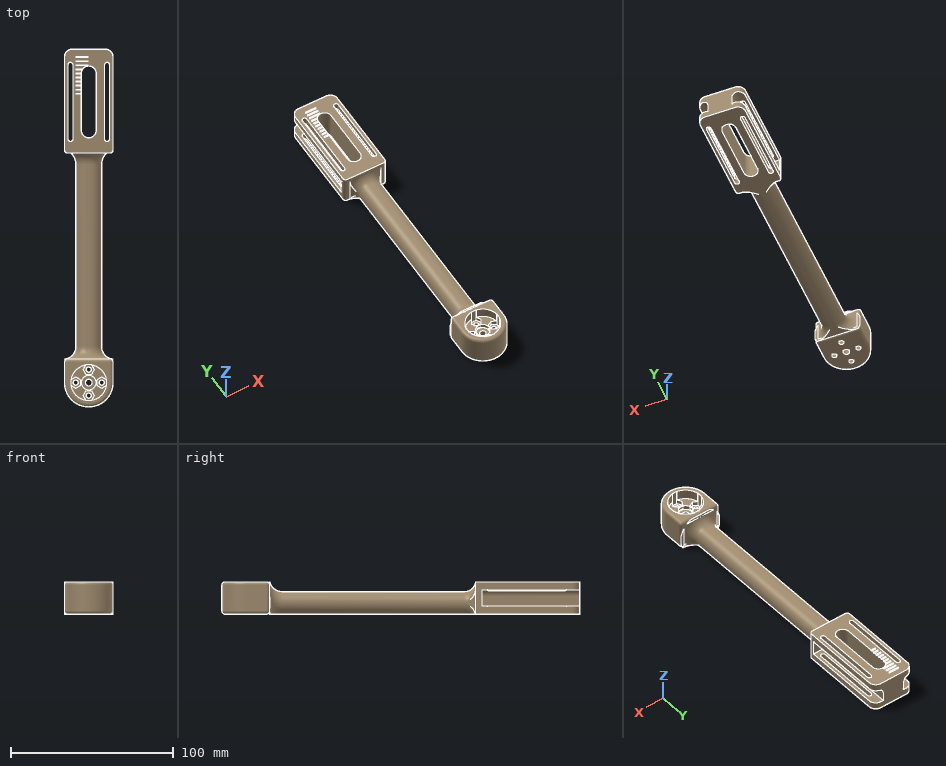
import cadquery as cq
import math

width = 30.0
height = 20.0
total_length = 220.0

rod_width = 16.0
rod_height = 14.0
rod_radius = rod_height / 2
rod_flat = rod_width - rod_height
head_neck_radius = 7.5
block_neck_radius = 6.75
block_neck_width = 22.0

head_radius = width / 2
head_back = 14.5
head_fillet = 2.0
pocket_diameter = 22.0
pocket_depth = 7.0
center_hole_diameter = 4.0
center_recess_diameter = 9.0
screw_hole_diameter = 3.0
screw_offset = 8.0
nut_flats = 6.0
nut_recess_depth = 3.0

block_length = 64.0
block_end = total_length - head_radius
block_start = block_end - block_length
block_middle = (block_start + block_end) / 2
block_end_corner = 5.0
block_rod_corner = 2.0

slot_shift = 0.5
slot_middle = block_middle - slot_shift
main_slot_length = 44.0
main_slot_width = 9.0
side_slot_length = 48.5
side_slot_width = 3.0
side_slot_offset = 11.25

groove_height = 10.0
groove_depth = 7.0
groove_length = 60.0
groove_roof_radius = 4.0

tick_count = 10
tick_pitch = 2.5
tick_length = 7.25
tick_center_x = -4.125
tick_width = 0.5
tick_depth = 0.5
first_tick_inset = 5.0


def make_head():
    """Round-nosed head with every edge of its outside rounded."""
    outline = (
        cq.Workplane("XY")
        .moveTo(-head_radius, head_back)
        .lineTo(-head_radius, 0)
        .threePointArc((0, -head_radius), (head_radius, 0))
        .lineTo(head_radius, head_back)
        .close()
    )
    head = outline.extrude(height)
    head = head.edges("|Z and >Y").fillet(head_fillet)
    return head.faces("<Z or >Z").edges().fillet(head_fillet)


def make_rod():
    """Straight rod reaching from the head to the block."""
    return (
        cq.Workplane("XZ", origin=(0, head_back, rod_radius))
        .slot2D(rod_width, rod_height)
        .extrude(head_back - block_start)
    )


def make_neck(face_y, direction, neck_radius):
    """Concave flare from the rod to a flat face at face_y; direction points along the rod."""
    rod_end = face_y + direction * neck_radius
    flare_radius = rod_radius + neck_radius
    arc_offset = neck_radius * math.sqrt(0.5)
    arc_radius = flare_radius - arc_offset
    arc_y = rod_end - direction * arc_offset

    neck = (
        cq.Workplane("YZ", origin=(-rod_flat / 2, 0, rod_radius))
        .moveTo(face_y, -flare_radius)
        .lineTo(face_y, flare_radius)
        .threePointArc((arc_y, arc_radius), (rod_end, rod_radius))
        .lineTo(rod_end, -rod_radius)
        .threePointArc((arc_y, -arc_radius), (face_y, -flare_radius))
        .close()
        .extrude(rod_flat)
    )
    for center_x in (-rod_flat / 2, rod_flat / 2):
        half_profile = (
            cq.Workplane("XY", origin=(center_x, 0, rod_radius))
            .moveTo(0, face_y)
            .lineTo(flare_radius, face_y)
            .threePointArc((arc_radius, arc_y), (rod_radius, rod_end))
            .lineTo(0, rod_end)
            .close()
        )
        neck = neck.union(half_profile.revolve(360, (0, 0, 0), (0, 1, 0)))
    return neck


def make_head_neck():
    """Flare into the head, kept within the head's rounded cross-section."""
    envelope = (
        cq.Workplane("XZ", origin=(0, 0, height / 2))
        .rect(width, height)
        .extrude(-block_start)
        .edges("|Y")
        .fillet(head_fillet)
    )
    return make_neck(head_back, 1, head_neck_radius).intersect(envelope)


def make_block_neck():
    """Flare into the block, narrowed at the sides by a shallower concave arc."""
    neck_start = block_start - block_neck_radius
    side_flare = (block_neck_width - rod_width) / 2
    side_radius = (block_neck_radius**2 + side_flare**2) / (2 * side_flare)
    envelope = (
        cq.Workplane("XY")
        .moveTo(-rod_width / 2, neck_start)
        .lineTo(rod_width / 2, neck_start)
        .radiusArc((block_neck_width / 2, block_start), side_radius)
        .lineTo(-block_neck_width / 2, block_start)
        .radiusArc((-rod_width / 2, neck_start), side_radius)
        .close()
        .extrude(height)
    )
    return make_neck(block_start, -1, block_neck_radius).intersect(envelope)


def make_block():
    """Rectangular block with rounded vertical corners."""
    block = (
        cq.Workplane("XY", origin=(0, block_middle, 0))
        .rect(width, block_length)
        .extrude(height)
    )
    block = block.edges("|Z and >Y").fillet(block_end_corner)
    return block.edges("|Z and <Y").fillet(block_rod_corner)


def head_cuts():
    """Round pocket with a centre recess, four nut recesses and their through holes."""
    pocket_floor = height - pocket_depth
    recess_floor = pocket_floor - nut_recess_depth
    recess_height = height - recess_floor
    nut_corners = nut_flats / math.cos(math.pi / 6)

    pocket = cq.Workplane("XY", origin=(0, 0, pocket_floor)).circle(pocket_diameter / 2)
    cuts = pocket.extrude(pocket_depth)
    recess = cq.Workplane("XY", origin=(0, 0, recess_floor)).circle(center_recess_diameter / 2)
    cuts = cuts.union(recess.extrude(recess_height))
    cuts = cuts.union(cq.Workplane("XY").circle(center_hole_diameter / 2).extrude(height))

    screw = cq.Workplane("XY").center(0, screw_offset).circle(screw_hole_diameter / 2).extrude(height)
    nut = (
        cq.Workplane("XY", origin=(0, screw_offset, recess_floor))
        .polygon(6, nut_corners)
        .extrude(recess_height)
    )
    for angle in (0, 90, 180, 270):
        cuts = cuts.union(screw.union(nut).rotate((0, 0, 0), (0, 0, 1), angle))
    return cuts


def vertical_slot(x, length, slot_width):
    """Round-ended slot along Y, through the full height."""
    return cq.Workplane("XY", origin=(x, slot_middle, 0)).slot2D(length, slot_width, 90).extrude(height)


def side_groove():
    """Groove in the -X side with a flat floor and a quarter-round roof."""
    outer = -width / 2
    inner = outer + groove_depth
    floor = (height - groove_height) / 2
    roof = floor + groove_height
    spring = roof - groove_roof_radius
    arc_offset = groove_roof_radius * math.sqrt(0.5)
    return (
        cq.Workplane("XZ", origin=(0, block_end, 0))
        .moveTo(outer, floor)
        .lineTo(inner, floor)
        .lineTo(inner, spring)
        .threePointArc(
            (inner - groove_roof_radius + arc_offset, spring + arc_offset),
            (inner - groove_roof_radius, roof),
        )
        .lineTo(outer, roof)
        .close()
        .extrude(groove_length)
    )


def graduation():
    """Evenly spaced engraved ticks in the top of the block."""
    first_tick_y = block_end - first_tick_inset
    positions = [(tick_center_x, first_tick_y - i * tick_pitch) for i in range(tick_count)]
    return (
        cq.Workplane("XY", origin=(0, 0, height - tick_depth))
        .pushPoints(positions)
        .rect(tick_length, tick_width)
        .extrude(tick_depth)
    )


body = make_head().union(make_rod()).union(make_head_neck())
body = body.union(make_block()).union(make_block_neck())

body = body.cut(head_cuts())
body = body.cut(vertical_slot(0, main_slot_length, main_slot_width))
for side in (-1, 1):
    body = body.cut(vertical_slot(side * side_slot_offset, side_slot_length, side_slot_width))
groove = side_groove()
body = body.cut(groove).cut(groove.mirror("YZ"))
result = body.cut(graduation())